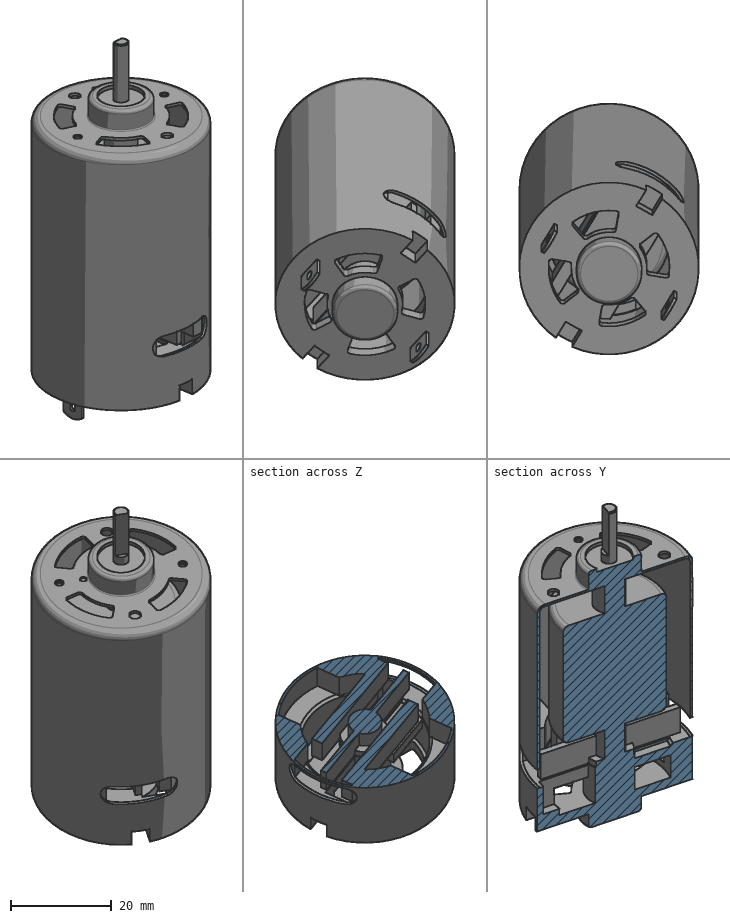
import cadquery as cq
import math


can_dia = 35.7
can_height = 56.8
wall = 0.6
can_inner_dia = can_dia - 2 * wall
can_edge_radius = 1.75
lid_underside = can_height - wall

top_boss_dia = 13.05
top_boss_height = 4.5
top_boss_recess_dia = 9.5
top_boss_recess_depth = 0.8
top_boss_foot_radius = 0.2
bottom_boss_dia = 13.0
bottom_boss_height = 3.55
boss_edge_radius = 0.8

total_length = 79.1
shaft_dia = 3.2
shaft_chamfer = 0.2
flat_length = 10.8
flat_offset = 0.8

terminal_length = 5.7
terminal_width = 5.1
terminal_thickness = 0.6
terminal_offset = 13.8
terminal_straight = 4.8
terminal_slot_width = 1.35
terminal_slot_length = 2.4
terminal_slot_drop = 2.85
shaft_top = total_length - terminal_length

vent_inner_radius = 9.65
vent_outer_radius = 13.4
vent_half_angle = 24.5
vent_middle_angle = 45
vent_corner_radius = 0.6
lid_hole_offset = 12.6
mount_hole_dia = 2.4
pin_hole_dia = 1.35
pin_hole_countersink = 0.2
countersink_angle = 90
dimple_dia = 1.35
dimple_offset = 7.7
dimple_depth = 0.4

window_length = 15.7
window_height = 4.7
window_center = 13.3
notch_width = 3.7
notch_height = 3.4
notch_depth = 3.95

rotor_dia = 24.05
rotor_bottom = 19.8
rotor_top = 49.4
rotor_edge_radius = 1.35
commutator_dia = 6.7

cap_height = 10.9
cap_floor = 2.4
cap_inner_dia = 25.6
cap_chamfer = 0.55
cap_vent_inner_radius = 7.5
shelf_thickness = 2.4
shelf_drop = 0.6
shelf_reach = 14.8
pocket_reach = 16.2
pocket_floor = 3.95
holder_dia = 10.3
holder_height = 11.3
holder_neck_dia = 10.0
holder_neck_top = 12.7

brush_bottom = holder_height
brush_height = 6.3
brush_reach = 15.8
brush_recess = 6.3
brush_block_inner = 4.2
brush_block_outer = 6.65
brush_bar_width = 1.35
pillar_inner_x = 7.35
pillar_top = brush_bottom + brush_height


def disc(diameter, bottom, top):
    """Cylinder on the motor axis between two heights."""
    return cq.Workplane("XY").workplane(offset=bottom).circle(diameter / 2).extrude(top - bottom)


def block(x_size, y_size, z_size, center):
    """Box given by its sizes and the middle of its bottom face."""
    return cq.Workplane("XY").box(x_size, y_size, z_size, centered=(True, True, False)).translate(center)


def vents(inner_radius, outer_radius, bottom, top):
    """Four arc-shaped openings, one centred on each diagonal."""

    def polar(radius, degrees):
        angle = math.radians(degrees)
        return (radius * math.cos(angle), radius * math.sin(angle))

    start = vent_middle_angle - vent_half_angle
    end = vent_middle_angle + vent_half_angle
    opening = (
        cq.Workplane("XY")
        .workplane(offset=bottom)
        .moveTo(*polar(inner_radius, start))
        .lineTo(*polar(outer_radius, start))
        .threePointArc(polar(outer_radius, vent_middle_angle), polar(outer_radius, end))
        .lineTo(*polar(inner_radius, end))
        .threePointArc(polar(inner_radius, vent_middle_angle), polar(inner_radius, start))
        .close()
        .extrude(top - bottom)
        .edges("|Z")
        .fillet(vent_corner_radius)
    )
    openings = opening
    for turn in (90, 180, 270):
        openings = openings.union(opening.rotate((0, 0, 0), (0, 0, 1), turn))
    return openings


def make_can():
    can = disc(can_dia, 0, can_height).faces(">Z").edges().fillet(can_edge_radius)
    cavity = disc(can_inner_dia, 0, lid_underside).faces(">Z").edges().fillet(can_edge_radius - wall)
    can = can.cut(cavity)
    can = can.cut(vents(vent_inner_radius, vent_outer_radius, lid_underside, can_height))

    lid = can.faces(">Z").workplane(origin=(0, 0, can_height))
    can = lid.pushPoints([(-lid_hole_offset, 0), (lid_hole_offset, 0)]).hole(mount_hole_dia, wall)
    lid = can.faces(">Z").workplane(origin=(0, 0, can_height))
    can = lid.pushPoints([(0, -lid_hole_offset), (0, lid_hole_offset)]).cskHole(
        pin_hole_dia, pin_hole_dia + 2 * pin_hole_countersink, countersink_angle, wall
    )
    dimple = disc(dimple_dia, can_height - dimple_depth, can_height)
    can = can.cut(dimple.translate((0, dimple_offset, 0)))

    window = (
        cq.Workplane("YZ")
        .center(0, window_center)
        .slot2D(window_length, window_height)
        .extrude(can_dia / 2, both=True)
    )
    return can.cut(window)


def make_top_boss():
    boss_top = can_height + top_boss_height
    boss = disc(top_boss_dia, lid_underside, boss_top).faces(">Z").edges().fillet(boss_edge_radius)
    boss = boss.cut(disc(top_boss_recess_dia, boss_top - top_boss_recess_depth, boss_top))
    radius = top_boss_dia / 2
    foot = top_boss_foot_radius
    arc_middle = foot * (1 - math.sqrt(0.5))
    foot_ring = (
        cq.Workplane("XZ")
        .moveTo(radius - foot, can_height)
        .lineTo(radius + foot, can_height)
        .threePointArc((radius + arc_middle, can_height + arc_middle), (radius, can_height + foot))
        .lineTo(radius - foot, can_height + foot)
        .close()
        .revolve(360, (0, 0, 0), (0, 1, 0))
    )
    return boss.union(foot_ring)


def make_shaft():
    shaft = disc(shaft_dia, 0, shaft_top).faces(">Z").edges().chamfer(shaft_chamfer)
    flat_center = (-flat_offset - shaft_dia / 2, 0, shaft_top - flat_length)
    flat_cut = block(shaft_dia, shaft_dia, flat_length, flat_center)
    return shaft.cut(flat_cut)


def make_rotor():
    rotor = disc(rotor_dia, rotor_bottom, rotor_top).edges().fillet(rotor_edge_radius)
    commutator = disc(commutator_dia, holder_neck_top, lid_underside)
    return rotor.union(commutator)


def make_pillars():
    """Four corner pillars that stand on the cap rim beside the brush blocks."""
    pillar_height = pillar_top - cap_height
    ring = disc(can_inner_dia, cap_height, pillar_top).cut(disc(cap_inner_dia, cap_height, pillar_top))
    middle_x = block(2 * pillar_inner_x, can_dia, pillar_height, (0, 0, cap_height))
    middle_y = block(can_dia, 2 * brush_block_outer, pillar_height, (0, 0, cap_height))
    return ring.cut(middle_x).cut(middle_y)


def make_end_cap():
    cap = disc(can_inner_dia, 0, cap_height)
    pit = disc(cap_inner_dia, cap_floor, cap_height)
    inner_rim = cq.selectors.RadiusNthSelector(0)
    cap = cap.cut(pit).faces(">Z").edges(inner_rim).chamfer(cap_chamfer)
    cap = cap.cut(vents(cap_vent_inner_radius, rotor_dia / 2, 0, cap_floor))

    bar_edge = brush_bar_width / 2
    shelf_width = brush_block_outer + bar_edge
    shelf_bottom = cap_height - shelf_drop - shelf_thickness
    shelf_center = (-shelf_reach / 2, (brush_block_outer - bar_edge) / 2, shelf_bottom)
    shelf = block(shelf_reach, shelf_width, shelf_thickness, shelf_center)
    pocket_width = brush_block_outer - bar_edge
    pocket_center = (-pocket_reach / 2, -(brush_block_outer + bar_edge) / 2, pocket_floor)
    pocket = block(pocket_reach, pocket_width, cap_height - pocket_floor, pocket_center)
    rib_center = (-brush_reach / 2, 0, cap_height - shelf_thickness)
    rib = block(brush_reach, brush_bar_width, shelf_thickness, rib_center)
    for turn in (0, 180):
        cap = cap.cut(pocket.rotate((0, 0, 0), (0, 0, 1), turn))
    for turn in (0, 180):
        cap = cap.union(shelf.union(rib).rotate((0, 0, 0), (0, 0, 1), turn))

    holder = disc(holder_dia, 0, holder_height)
    neck = disc(holder_neck_dia, holder_height, holder_neck_top)
    boss = disc(bottom_boss_dia, -bottom_boss_height, 0).faces("<Z").edges().fillet(boss_edge_radius)
    return cap.union(make_pillars()).union(holder).union(neck).union(boss)


def make_brush_gear():
    """Central bar and two side blocks, each block set back from the opposite window."""
    gear = block(2 * brush_reach, brush_bar_width, brush_height, (0, 0, brush_bottom))
    block_length = 2 * brush_reach - brush_recess
    block_width = brush_block_outer - brush_block_inner
    block_offset = (brush_block_outer + brush_block_inner) / 2
    for side in (-1, 1):
        center = (side * brush_recess / 2, side * block_offset, brush_bottom)
        gear = gear.union(block(block_length, block_width, brush_height, center))
    return gear


def make_terminal(side):
    half_width = terminal_width / 2
    outline = (
        cq.Workplane("XZ")
        .moveTo(-half_width, 0)
        .lineTo(-half_width, -terminal_straight)
        .threePointArc((0, -terminal_length), (half_width, -terminal_straight))
        .lineTo(half_width, 0)
        .close()
        .extrude(terminal_thickness / 2, both=True)
    )
    slot = (
        cq.Workplane("XZ")
        .center(0, -terminal_slot_drop)
        .slot2D(terminal_slot_length, terminal_slot_width, 90)
        .extrude(terminal_thickness, both=True)
    )
    return outline.cut(slot).translate((0, side * terminal_offset, 0))


result = make_can().union(make_end_cap())
for side in (-1, 1):
    notch_x = side * (can_dia - notch_depth) / 2
    result = result.cut(block(notch_depth, notch_width, notch_height, (notch_x, 0, 0)))
    result = result.union(make_terminal(side))
result = result.union(make_rotor()).union(make_brush_gear())
result = result.union(make_top_boss()).union(make_shaft())